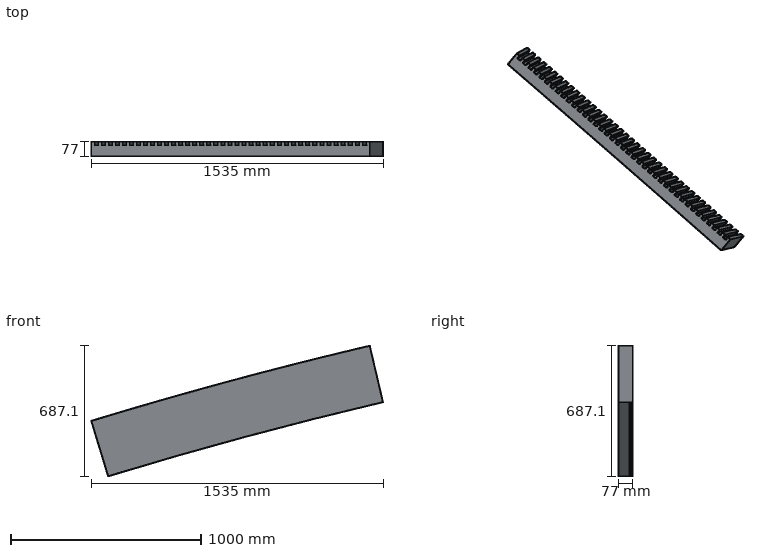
import cadquery as cq
import math

outer_radius = 23025.0
band_width = 305.0
thickness = 77.0
arc_length = 1518.0
tilt = 15.1
groove_count = 39
groove_depth = 18.0

inner_radius = outer_radius - band_width
middle_radius = outer_radius - band_width / 2
span = math.degrees(arc_length / outer_radius)
left_angle = -tilt - span / 2
right_angle = -tilt + span / 2

strip_count = 2 * groove_count + 1
groove_width = arc_length / strip_count
strip_angle = span / strip_count
cutter_overrun = 15.0
groove_length = band_width + 2 * cutter_overrun

center_x = middle_radius * math.sin(math.radians(tilt))
center_z = -middle_radius * math.cos(math.radians(tilt))


def polar_point(radius, angle):
    """XZ point at a radius from the arc centre, angle in degrees from +Z toward +X."""
    turn = math.radians(angle)
    return (center_x + radius * math.sin(turn), center_z + radius * math.cos(turn))


def make_band():
    """Curved bar with concentric long edges and radial ends, centred on Y = 0."""
    return (
        cq.Workplane("XZ")
        .moveTo(*polar_point(outer_radius, left_angle))
        .threePointArc(polar_point(outer_radius, -tilt), polar_point(outer_radius, right_angle))
        .lineTo(*polar_point(inner_radius, right_angle))
        .threePointArc(polar_point(inner_radius, -tilt), polar_point(inner_radius, left_angle))
        .close()
        .extrude(thickness / 2, both=True)
    )


def make_groove(angle):
    """Radial cutter as deep as the groove, lying just inside the +Y face."""
    x, z = polar_point(middle_radius, angle)
    return (
        cq.Workplane("XY")
        .box(groove_width, groove_depth, groove_length)
        .rotate((0, 0, 0), (0, 1, 0), angle)
        .translate((x, (thickness - groove_depth) / 2, z))
    )


first_groove_angle = left_angle + 1.5 * strip_angle
grooves = cq.Workplane("XY")
for index in range(groove_count):
    grooves.add(make_groove(first_groove_angle + 2 * index * strip_angle))

result = make_band().cut(cq.Compound.makeCompound(grooves.vals()))